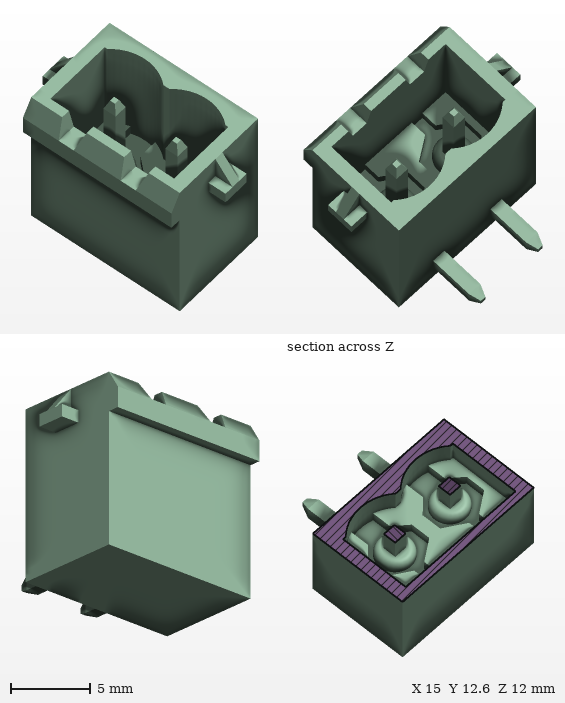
import cadquery as cq

poles = 2
pitch = 5.07
width = 12.15
depth = 7.78
height = 12.0
pole_places = [(i - (poles - 1) / 2) * pitch for i in range(poles)]

lip_reach = 0.82
lip_height = 2.74
bevel_height = 1.29

notch_top_width = 2.0
notch_floor_width = 1.23

wing_span = 14.96
wing_depth = 2.1
wing_thickness = 0.87
wing_drop = 1.72
rib_thickness = 0.7

side_wall = 1.02
cavity_width = width - 2 * side_wall
cavity_front = 0.67
cavity_back = 6.06
cavity_floor = 4.49
bulge_width = 4.58
bulge_height = 0.88

recess_depth = 0.75
recess_floor = cavity_floor - recess_depth
recess_half_width = 2.03
front_slot_half_width = 0.46
back_slot_half_width = notch_top_width / 2
recess_front_taper = (1.87, 2.9)
recess_back_taper = (4.41, 5.34)

collar_diameter = 2.75
collar_round = 0.48

pin_size = 1.0
pin_y = 3.98
pin_tail_z = 1.96
pin_top = 10.65
tail_reach = 4.0
taper_length = 0.76
tip_size = 0.4


def make_box(x_range, y_range, z_range):
    """Box filling the given (low, high) ranges."""
    sizes = [high - low for low, high in (x_range, y_range, z_range)]
    corner = (x_range[0], y_range[0], z_range[0])
    return cq.Workplane("XY").box(*sizes, centered=False).translate(corner)


def make_shell():
    """Block with the front lip, as one profile extruded along X."""
    profile = [
        (0, 0),
        (depth, 0),
        (depth, height),
        (0, height),
        (-lip_reach, height - bevel_height),
        (-lip_reach, height - lip_height),
        (0, height - lip_height),
    ]
    return cq.Workplane("YZ").polyline(profile).close().extrude(width / 2, both=True)


def make_wing(side):
    """Wing and rib on one side wall; side is -1 or +1."""
    root = side * width / 2
    tip = side * wing_span / 2
    block_top = height - wing_drop
    middle = depth / 2
    block = make_box(
        (min(root, tip), max(root, tip)),
        (middle - wing_depth / 2, middle + wing_depth / 2),
        (block_top - wing_thickness, block_top),
    )
    rib = (
        cq.Workplane("XZ", origin=(0, middle, 0))
        .polyline([(root, block_top), (tip, block_top), (root, height)])
        .close()
        .extrude(rib_thickness / 2, both=True)
    )
    return block.union(rib)


def make_cavity():
    """Space for the mating plug, open at the top."""
    half_width = cavity_width / 2
    outline = cq.Workplane("XY", origin=(0, 0, cavity_floor))
    outline = outline.moveTo(-half_width, cavity_front).lineTo(-half_width, cavity_back)
    for x in pole_places:
        outline = outline.lineTo(x - bulge_width / 2, cavity_back).threePointArc(
            (x, cavity_back + bulge_height), (x + bulge_width / 2, cavity_back)
        )
    outline = outline.lineTo(half_width, cavity_back).lineTo(half_width, cavity_front)
    return outline.close().extrude(height - cavity_floor)


def make_recess(x, cavity):
    """Keyed recess at one pole, bounded front and back by the cavity walls."""
    front_start, front_end = recess_front_taper
    back_start, back_end = recess_back_taper
    right_side = [
        (front_slot_half_width, cavity_front),
        (front_slot_half_width, front_start),
        (recess_half_width, front_end),
        (recess_half_width, back_start),
        (back_slot_half_width, back_end),
        (back_slot_half_width, depth),
    ]
    left_side = [(-px, py) for px, py in reversed(right_side)]
    recess = (
        cq.Workplane("XY", origin=(x, 0, recess_floor))
        .polyline(right_side + left_side)
        .close()
        .extrude(recess_depth)
    )
    return recess.intersect(cavity.translate((0, 0, recess_floor - cavity_floor)))


def make_collar(x):
    """Round-edged collar standing on the recess floor, level with the cavity floor."""
    return (
        cq.Workplane("XY", origin=(x, pin_y, recess_floor))
        .circle(collar_diameter / 2)
        .extrude(recess_depth)
        .faces(">Z")
        .edges()
        .fillet(collar_round)
    )


def make_notch(x):
    """Tapered notch from the front of the lip into the cavity."""
    floor = height - bevel_height
    outline = [
        (x - notch_floor_width / 2, floor),
        (x + notch_floor_width / 2, floor),
        (x + notch_top_width / 2, height),
        (x - notch_top_width / 2, height),
    ]
    notch_length = cavity_front + lip_reach
    return cq.Workplane("XZ", origin=(0, cavity_front, 0)).polyline(outline).close().extrude(notch_length)


def make_taper(base, direction):
    """Four-sided pin end that starts at base and points along direction."""
    plane = cq.Plane(origin=base, xDir=(1, 0, 0), normal=direction)
    return (
        cq.Workplane(plane)
        .rect(pin_size, pin_size)
        .workplane(offset=taper_length)
        .rect(tip_size, tip_size)
        .loft(ruled=True)
    )


def make_pin(x):
    """Bent pin: an upright contact and a tail out of the back wall."""
    half = pin_size / 2
    contact_end = pin_top - taper_length
    tail_end = depth + tail_reach - taper_length
    contact = make_box((x - half, x + half), (pin_y - half, pin_y + half), (pin_tail_z - half, contact_end))
    tail = make_box((x - half, x + half), (pin_y - half, tail_end), (pin_tail_z - half, pin_tail_z + half))
    contact_taper = make_taper((x, pin_y, contact_end), (0, 0, 1))
    tail_taper = make_taper((x, tail_end, pin_tail_z), (0, 1, 0))
    return contact.union(tail).union(contact_taper).union(tail_taper)


def make_housing(pins):
    """Housing with all its openings, including the holes that the pins fill."""
    cavity = make_cavity()
    housing = make_shell().cut(cavity)
    for side in (-1, 1):
        housing = housing.union(make_wing(side))
    for x in pole_places:
        housing = housing.cut(make_recess(x, cavity)).union(make_collar(x)).cut(make_notch(x))
    for pin in pins:
        housing = housing.cut(pin)
    return housing


pins = [make_pin(x) for x in pole_places]
housing = make_housing(pins)

result = cq.Compound.makeCompound([housing.val(), *[pin.val() for pin in pins]])